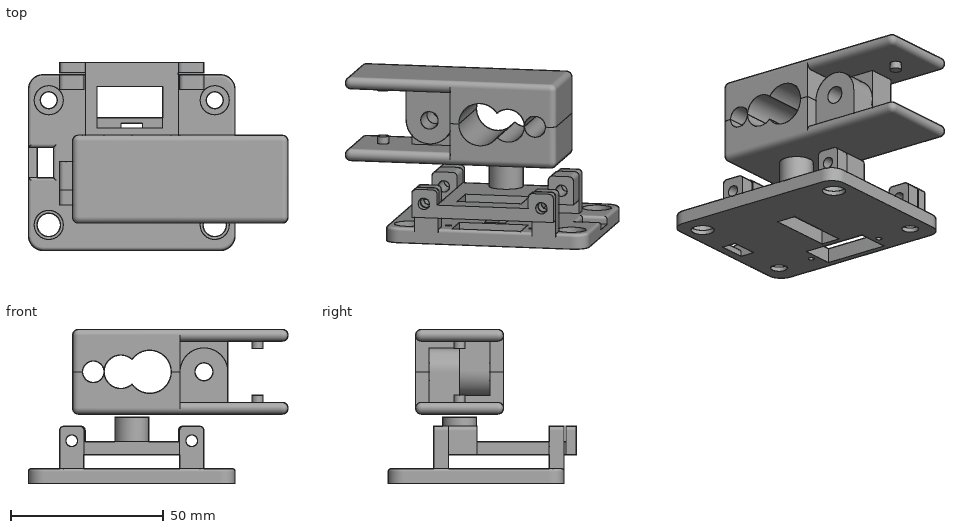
import cadquery as cq

TOTAL_HEIGHT = 50.8

BASE_LENGTH = 68.0
BASE_WIDTH = 57.95
BASE_THICKNESS = 4.95
BASE_CORNER_RADIUS = 4.95
EDGE_RADIUS = 1.0
BASE_REAR = BASE_WIDTH / 2
BASE_Z_RANGE = (0, BASE_THICKNESS)

MOUNT_SPACING_X = 54.6
MOUNT_SPACING_Y = 41.0
COUNTERBORE_DIAMETER = 9.6
COUNTERBORE_DEPTH = 3.5
FRONT_MOUNT_DIAMETER = 7.6
REAR_MOUNT_DIAMETER = 5.5

OPENING_LENGTH = 23.1
OPENING_WIDTH = 12.0
OPENING_FRONT = 14.8
OPENING_CENTRE_Y = OPENING_FRONT + OPENING_WIDTH / 2
SCREW_SPACING = 28.0
SCREW_DIAMETER = 2.0

SLOT_WIDTH = 7.0
SLOT_FRONT = -11.0
SLOT_REAR = 12.9

NOTCH_WIDTH = 9.9
NOTCH_DEPTH = 8.2
NOTCH_LIP_LENGTH = 3.0
NOTCH_LIP_HEIGHT = 2.5

POST_OUTER = 23.8
POST_WIDTH = 8.0
POST_THICKNESS = 4.95
POST_TOP = 18.9
POST_FILLET = 1.45
FRONT_POST_REAR = -9.1
PIN_BORE_DIAMETER = 3.8
PIN_BORE_X = POST_OUTER - POST_WIDTH / 2
PIN_BORE_Z = 14.1

PLATE_HALF_LENGTH = 15.3
PLATE_BOTTOM = 9.5
PLATE_THICKNESS = 4.4
PLATE_TOP = PLATE_BOTTOM + PLATE_THICKNESS
PLATE_REAR = 33.0
PLATE_FRONT = FRONT_POST_REAR
REAR_LUG_THICKNESS = 3.5
FRONT_LUG_THICKNESS = 9.4
WINDOW_LEFT = -11.4
WINDOW_RIGHT = 10.2
WINDOW_FRONT = 11.45
WINDOW_REAR = 24.95
STEM_DIAMETER = 11.2
STEM_TOP = 21.9
STEM_Y = -5.5

CLAMP_LEFT = -19.5
CLAMP_LENGTH = 70.9
CLAMP_WIDTH = 29.0
CLAMP_HEIGHT = 27.95
CLAMP_Y = -5.5
CLAMP_MID_Z = TOTAL_HEIGHT - CLAMP_HEIGHT / 2
CLAMP_BOTTOM = TOTAL_HEIGHT - CLAMP_HEIGHT
CLAMP_FRONT = CLAMP_Y - CLAMP_WIDTH / 2
CLAMP_RIGHT = CLAMP_LEFT + CLAMP_LENGTH
BLOCK_LENGTH = 35.4
BLOCK_RIGHT = CLAMP_LEFT + BLOCK_LENGTH
CLAMP_FILLET = 2.0
JAW_THICKNESS = 2 * CLAMP_FILLET
JAW_TOP = CLAMP_BOTTOM + JAW_THICKNESS
BORES = [(-12.65, 7.0), (-3.6, 10.9), (5.9, 14.1)]

KNUCKLE_RADIUS = 7.9
KNUCKLE_THICKNESS = 10.0
KNUCKLE_X = BLOCK_RIGHT + KNUCKLE_RADIUS
HINGE_BORE_DIAMETER = 5.8
STUB_X = 41.4
STUB_DIAMETER = 3.8
STUB_LENGTH = 2.4


def box(x_range, y_range, z_range):
    """A box between the given (low, high) limits."""
    lengths = [high - low for low, high in (x_range, y_range, z_range)]
    corner = (x_range[0], y_range[0], z_range[0])
    return cq.Workplane("XY", origin=corner).box(*lengths, centered=False)


def cylinder_y(x, z, diameter, y_range):
    """A cylinder along Y."""
    return (
        cq.Workplane("XZ", origin=(x, y_range[0], z))
        .circle(diameter / 2)
        .extrude(y_range[0] - y_range[1])
    )


def cylinder_z(x, y, diameter, z_range):
    """A cylinder along Z."""
    return (
        cq.Workplane("XY", origin=(x, y, z_range[0]))
        .circle(diameter / 2)
        .extrude(z_range[1] - z_range[0])
    )


def bored_lug(side, inner, y_range, bottom):
    """A lug with a rounded top, from `inner` to the outer face on the given side (-1 or 1)."""
    lug = box(sorted((side * inner, side * POST_OUTER)), y_range, (bottom, POST_TOP))
    lug = lug.edges("|Y and >Z").fillet(POST_FILLET)
    return lug.cut(cylinder_y(side * PIN_BORE_X, PIN_BORE_Z, PIN_BORE_DIAMETER, y_range))


def base_slab():
    """The rounded slab with the notch in its left edge; all its top edges are rounded."""
    left = -BASE_LENGTH / 2
    notch_end = left + NOTCH_DEPTH
    lip_end = left + NOTCH_LIP_LENGTH
    notch_y_range = (-NOTCH_WIDTH / 2, NOTCH_WIDTH / 2)
    slab = (
        cq.Workplane("XY")
        .box(BASE_LENGTH, BASE_WIDTH, BASE_THICKNESS, centered=(True, True, False))
        .edges("|Z")
        .fillet(BASE_CORNER_RADIUS)
    )
    slab = slab.cut(box((left, notch_end), notch_y_range, (NOTCH_LIP_HEIGHT, BASE_THICKNESS)))
    slab = slab.cut(box((lip_end, notch_end), notch_y_range, BASE_Z_RANGE))
    slab = slab.faces(">Z").edges().fillet(EDGE_RADIUS)
    lip_edge = cq.selectors.NearestToPointSelector((lip_end, 0, NOTCH_LIP_HEIGHT))
    return slab.edges(lip_edge).fillet(EDGE_RADIUS)


def mounting_holes():
    """The four counterbored holes; the front pair is wider than the rear pair."""
    holes = cq.Workplane("XY")
    seat_z_range = (BASE_THICKNESS - COUNTERBORE_DEPTH, BASE_THICKNESS)
    for y_side, diameter in ((-1, FRONT_MOUNT_DIAMETER), (1, REAR_MOUNT_DIAMETER)):
        for x_side in (-1, 1):
            x = x_side * MOUNT_SPACING_X / 2
            y = y_side * MOUNT_SPACING_Y / 2
            holes = holes.add(cylinder_z(x, y, diameter, BASE_Z_RANGE))
            holes = holes.add(cylinder_z(x, y, COUNTERBORE_DIAMETER, seat_z_range))
    return holes.combine()


def base_openings():
    """The rear opening with its screw holes, and the middle slot."""
    opening_x_range = (-OPENING_LENGTH / 2, OPENING_LENGTH / 2)
    opening_y_range = (OPENING_FRONT, OPENING_FRONT + OPENING_WIDTH)
    openings = box(opening_x_range, opening_y_range, BASE_Z_RANGE)
    openings = openings.union(
        box((-SLOT_WIDTH / 2, SLOT_WIDTH / 2), (SLOT_FRONT, SLOT_REAR), BASE_Z_RANGE)
    )
    for side in (-1, 1):
        screw_x = side * SCREW_SPACING / 2
        openings = openings.union(
            cylinder_z(screw_x, OPENING_CENTRE_Y, SCREW_DIAMETER, BASE_Z_RANGE)
        )
    return openings


def make_base():
    """Base plate with its four posts, which reach down past the rounded top edge."""
    base = base_slab().cut(mounting_holes()).cut(base_openings())
    post_bottom = BASE_THICKNESS - EDGE_RADIUS
    for rear in (FRONT_POST_REAR, BASE_REAR):
        y_range = (rear - POST_THICKNESS, rear)
        for side in (-1, 1):
            base = base.union(bored_lug(side, POST_OUTER - POST_WIDTH, y_range, post_bottom))
    return base


def make_swing_plate():
    """Windowed plate with two lugs on each side and a round stem that overhangs its front edge."""
    plate_z_range = (PLATE_BOTTOM, PLATE_TOP)
    plate = box((-PLATE_HALF_LENGTH, PLATE_HALF_LENGTH), (PLATE_FRONT, PLATE_REAR), plate_z_range)
    window = box((WINDOW_LEFT, WINDOW_RIGHT), (WINDOW_FRONT, WINDOW_REAR), plate_z_range)
    plate = plate.cut(window)

    rear_lug_y_range = (PLATE_REAR - REAR_LUG_THICKNESS, PLATE_REAR)
    front_lug_y_range = (PLATE_FRONT, PLATE_FRONT + FRONT_LUG_THICKNESS)
    for y_range in (rear_lug_y_range, front_lug_y_range):
        for side in (-1, 1):
            plate = plate.union(bored_lug(side, PLATE_HALF_LENGTH, y_range, PLATE_BOTTOM))
    return plate.union(cylinder_z(0, STEM_Y, STEM_DIAMETER, (PLATE_TOP, STEM_TOP)))


def make_jaw():
    """Flat jaw right of the block, with a fully rounded rim along its front, right and rear."""
    rim_z = CLAMP_BOTTOM + CLAMP_FILLET
    rim_x = CLAMP_RIGHT - CLAMP_FILLET
    rim_y_range = (CLAMP_FRONT + CLAMP_FILLET, CLAMP_FRONT + CLAMP_WIDTH - CLAMP_FILLET)
    jaw = (
        cq.Workplane("YZ", origin=(BLOCK_RIGHT, CLAMP_Y, rim_z))
        .slot2D(CLAMP_WIDTH, JAW_THICKNESS)
        .extrude(rim_x - BLOCK_RIGHT)
    )
    jaw = jaw.union(cylinder_y(rim_x, rim_z, JAW_THICKNESS, rim_y_range))
    for rim_y in rim_y_range:
        jaw = jaw.union(cq.Workplane("XY", origin=(rim_x, rim_y, rim_z)).sphere(CLAMP_FILLET))
    return jaw


def make_block():
    """Lower half of the gripping block, with half of each bore in its top face."""
    y_range = (CLAMP_FRONT, CLAMP_FRONT + CLAMP_WIDTH)
    block = (
        box((CLAMP_LEFT, BLOCK_RIGHT), y_range, (CLAMP_BOTTOM, CLAMP_MID_Z))
        .edges("<Z or (|Z and <X)")
        .edges("not >X")
        .fillet(CLAMP_FILLET)
    )
    for x, diameter in BORES:
        block = block.cut(cylinder_y(x, CLAMP_MID_Z, diameter, y_range))
    return block


def make_knuckle():
    """Hinge knuckle of the lower half: its flat rear face lies on the clamp's centre plane."""
    y_range = (CLAMP_Y - KNUCKLE_THICKNESS, CLAMP_Y)
    x_range = (BLOCK_RIGHT, BLOCK_RIGHT + 2 * KNUCKLE_RADIUS)
    knuckle = box(x_range, y_range, (JAW_TOP, CLAMP_MID_Z))
    knuckle = knuckle.union(cylinder_y(KNUCKLE_X, CLAMP_MID_Z, 2 * KNUCKLE_RADIUS, y_range))
    return knuckle.cut(cylinder_y(KNUCKLE_X, CLAMP_MID_Z, HINGE_BORE_DIAMETER, y_range))


def make_clamp_half():
    """Lower half of the clamp: block, jaw, hinge knuckle and stub pin."""
    stub = cylinder_z(STUB_X, CLAMP_Y, STUB_DIAMETER, (JAW_TOP, JAW_TOP + STUB_LENGTH))
    return make_block().union(make_jaw()).union(make_knuckle()).union(stub)


base = make_base()
swing_plate = make_swing_plate()

clamp_halves = []
for turn in (0, 180):
    axis_start = (CLAMP_LEFT, CLAMP_Y, CLAMP_MID_Z)
    axis_end = (CLAMP_RIGHT, CLAMP_Y, CLAMP_MID_Z)
    clamp_halves.append(make_clamp_half().rotate(axis_start, axis_end, turn).solids().val())

result = cq.Compound.makeCompound(
    [base.solids().val(), swing_plate.solids().val(), *clamp_halves]
)